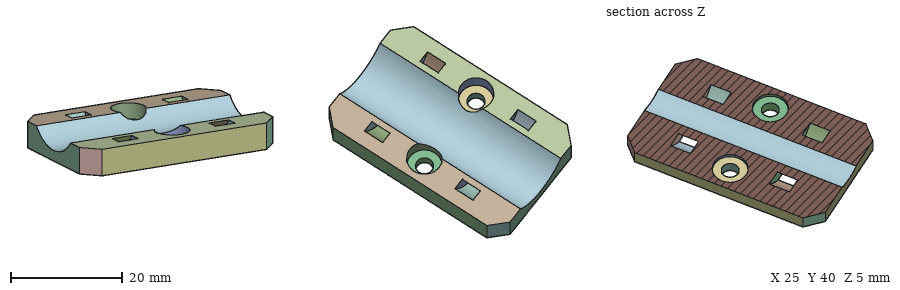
import cadquery as cq

width = 25.0
length = 40.0
height = 5.0
corner_chamfer = 3.0

groove_radius = 8.0
groove_axis_z = 2 * height

screw_offset = 8.0
screw_diameter = 3.2
counterbore_diameter = 6.4
counterbore_depth = 3.0

strap_wall = 1.0
strap_thickness = 2.0
strap_width = 4.0
strap_offset = 10.0
strap_inner_radius = groove_radius + strap_wall
strap_outer_radius = strap_inner_radius + strap_thickness


def groove_axis_plane(y_start):
    """Plane on the groove axis whose normal points along -Y."""
    return cq.Workplane("XZ", origin=(0, y_start, groove_axis_z))


def make_plate():
    plate = cq.Workplane("XY").box(width, length, height, centered=(True, True, False))
    return plate.edges("|Z").chamfer(corner_chamfer)


def make_groove():
    return groove_axis_plane(length / 2).circle(groove_radius).extrude(length)


def make_strap_channel(y_center):
    return (
        groove_axis_plane(y_center + strap_width / 2)
        .circle(strap_outer_radius)
        .circle(strap_inner_radius)
        .extrude(strap_width)
    )


def cut_screw_holes(body):
    return (
        body.copyWorkplane(cq.Workplane("XY", origin=(0, 0, height)))
        .pushPoints([(-screw_offset, 0), (screw_offset, 0)])
        .cboreHole(screw_diameter, counterbore_diameter, counterbore_depth)
    )


result = cut_screw_holes(make_plate().cut(make_groove()))
for y_center in (-strap_offset, strap_offset):
    result = result.cut(make_strap_channel(y_center))